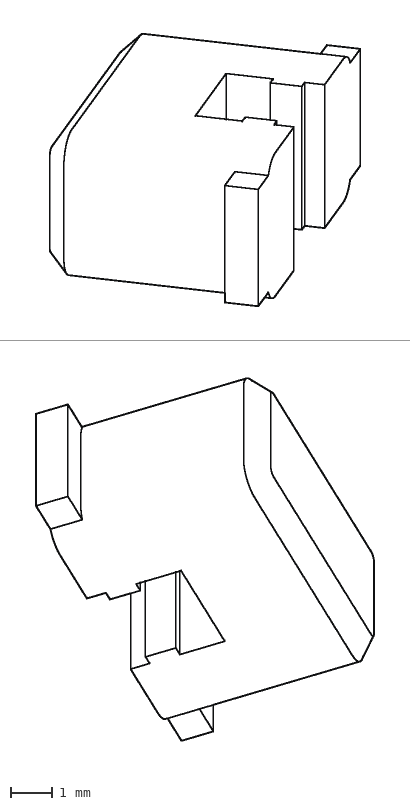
import cadquery as cq

length = 5.65
body_width = 7.4
height = 3.8
edge_radius = 0.69
nose_chamfer = 0.5

total_width = 9.0
tab_thickness = 0.85
tab_height = 3.1

slot_depth = 2.49
slot_width = 2.7

rib_length = 0.8
rib_height = 0.25
rib_setback = 0.5


def block_ending_at(x_end, x_size, y_size, z_size):
    """Box centred on Y and Z whose +X face lies at x_end."""
    return cq.Workplane("XY").box(x_size, y_size, z_size).translate((x_end - x_size / 2, 0, 0))


def make_body():
    body = block_ending_at(length, length, body_width, height)
    return body.edges("|X").fillet(edge_radius).faces("<X").chamfer(nose_chamfer)


def make_tabs():
    return block_ending_at(length, tab_thickness, total_width, tab_height)


def make_slot():
    slot = block_ending_at(length, slot_depth, slot_width, height)
    rib_end = length - rib_setback
    neck_width = slot_width - 2 * rib_height
    rib_zone = block_ending_at(rib_end, rib_length, slot_width, height)
    neck = block_ending_at(rib_end, rib_length, neck_width, height)
    return slot.cut(rib_zone).union(neck)


result = make_body().union(make_tabs()).cut(make_slot())